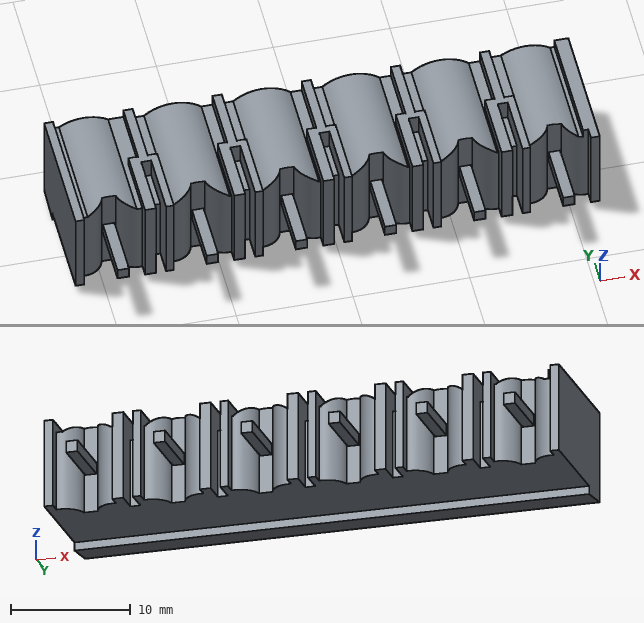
import cadquery as cq

LENGTH = 44.9
HALF_LENGTH = LENGTH / 2
DEPTH = 11.8
HEIGHT = 7.7
FRONT_Y = -DEPTH
CELL_COUNT = 6
PITCH = 7.65
END_PLATE = 0.75
RIGHT_STEP_WIDTH = 1.2

AXIS_Z = HEIGHT / 2
BARREL_RADIUS = 3.73
INNER_FLAT_Z = 6.65
END_FLAT_Z = 6.9
LAST_BARREL_SHIFT = 0.3
CELL_DEPTH = 10.8

NOTCH_FLOOR_DEPTH = 9.47
LOBE_RADIUS = 1.8
LOBE_OFFSET = 2.35

FIN_WIDTH = 0.8
FORK_WIDTH = 2.45
FORK_START = 5.55
SLOT_WIDTH = 0.85
SLOT_OFFSET = 0.15
SLOT_START = 6.25
WEB_END = 9.7
WEB_HEIGHT = 5.93

LIP_DEPTH = 3.1
LIP_BACK_DROP = 0.3
LIP_FRONT_DROP = 0.7

PIN_SIZE = 1.0
PIN_PROJECTION = 3.15

FIRST_CELL_X = -PITCH * (CELL_COUNT - 1) / 2
cell_centers = [FIRST_CELL_X + i * PITCH for i in range(CELL_COUNT)]
partition_centers = [x + PITCH / 2 for x in cell_centers[:-1]]


def block(x_min, x_max, y_min, y_max, z_min, z_max):
    """Box given by its limits along each axis."""
    size = (x_max - x_min, y_max - y_min, z_max - z_min)
    return cq.Workplane("XY").box(*size, centered=False).translate((x_min, y_min, z_min))


def make_cell_plan(center_x):
    """Full-height cell stock whose front has a lobe on each side of a flat notch floor."""
    half_pitch = PITCH / 2
    plan = block(center_x - half_pitch, center_x + half_pitch, -NOTCH_FLOOR_DEPTH, 0, 0, HEIGHT)
    lobe_center_y = -CELL_DEPTH + LOBE_RADIUS
    for lobe_x in (center_x - LOBE_OFFSET, center_x + LOBE_OFFSET):
        lobe = cq.Workplane("XY").center(lobe_x, lobe_center_y).circle(LOBE_RADIUS).extrude(HEIGHT)
        plan = plan.union(lobe)
    return plan


def make_cell(center_x, barrel_x, flat_z):
    """Cell with flat shoulders, a barrel-shaped top and a notched front."""
    left = max(center_x - PITCH / 2, -HALF_LENGTH)
    right = min(center_x + PITCH / 2, HALF_LENGTH)
    barrel = cq.Workplane("XZ").center(barrel_x, AXIS_Z).circle(BARREL_RADIUS).extrude(DEPTH)
    envelope = block(left, right, FRONT_Y, 0, 0, HEIGHT)
    section = block(left, right, FRONT_Y, 0, 0, flat_z).union(barrel).intersect(envelope)
    return make_cell_plan(center_x).intersect(section)


def make_right_end_step():
    """Full-height step that thickens the right end plate as far as the cell front."""
    step = block(HALF_LENGTH - RIGHT_STEP_WIDTH, HALF_LENGTH, FRONT_Y, 0, 0, HEIGHT)
    return make_cell_plan(cell_centers[-1]).intersect(step)


def make_partition(center_x):
    """Solid fin running into a wider fork block."""
    fin = block(center_x - FIN_WIDTH / 2, center_x + FIN_WIDTH / 2, -FORK_START, 0, 0, HEIGHT)
    fork = block(center_x - FORK_WIDTH / 2, center_x + FORK_WIDTH / 2, FRONT_Y, -FORK_START, 0, HEIGHT)
    return fin.union(fork)


def make_slot(center_x):
    """Cutter for the fork slot, leaving a lower web between the tines."""
    left = center_x + SLOT_OFFSET - SLOT_WIDTH / 2
    right = left + SLOT_WIDTH
    above_web = block(left, right, FRONT_Y, -SLOT_START, WEB_HEIGHT, HEIGHT)
    in_front_of_web = block(left, right, FRONT_Y, -WEB_END, 0, HEIGHT)
    return above_web.union(in_front_of_web)


def make_lip():
    """Wedge along the underside of the back edge, deeper toward the front."""
    return (
        cq.Workplane("YZ", origin=(-HALF_LENGTH, 0, 0))
        .polyline([(0, 0), (0, -LIP_BACK_DROP), (-LIP_DEPTH, -LIP_FRONT_DROP), (-LIP_DEPTH, 0)])
        .close()
        .extrude(LENGTH)
    )


def make_housing():
    """One-piece housing: cells, partitions, end plates and lip."""
    body = make_lip()
    first_x, *inner_centers, last_x = cell_centers
    body = body.union(make_cell(first_x, first_x, END_FLAT_Z))
    for center_x in inner_centers:
        body = body.union(make_cell(center_x, center_x, INNER_FLAT_Z))
    body = body.union(make_cell(last_x, last_x - LAST_BARREL_SHIFT, END_FLAT_Z))
    for center_x in partition_centers:
        body = body.union(make_partition(center_x)).cut(make_slot(center_x))
    body = body.union(block(-HALF_LENGTH, -HALF_LENGTH + END_PLATE, FRONT_Y, 0, 0, HEIGHT))
    body = body.union(block(HALF_LENGTH - END_PLATE, HALF_LENGTH, FRONT_Y, 0, 0, HEIGHT))
    return body.union(make_right_end_step())


def make_pin(center_x):
    """Square pin standing on the floor of a cell's notch."""
    half_size = PIN_SIZE / 2
    return block(
        center_x - half_size,
        center_x + half_size,
        FRONT_Y - PIN_PROJECTION,
        -NOTCH_FLOOR_DEPTH,
        AXIS_Z - half_size,
        AXIS_Z + half_size,
    )


housing = make_housing()
pins = [make_pin(center_x) for center_x in cell_centers]

result = cq.Compound.makeCompound([housing.val(), *[pin.val() for pin in pins]])